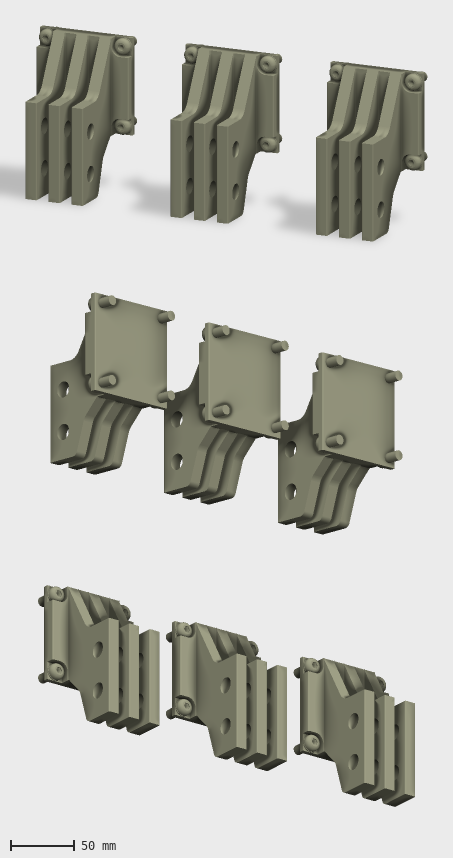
import cadquery as cq
import math


row_length = 332.0
bracket_count = 3

plate_size = 80.0
plate_thickness = 12.0
plate_corner_radius = 1.0
bracket_pitch = (row_length - plate_size) / (bracket_count - 1)

fin_count = 3
fin_pitch = plate_size / (fin_count + 1)
fin_width = fin_pitch / 2
fin_reach = 66.5
fin_top = 36.0
fin_bottom = -43.8
fin_front_radius = 1.0
fin_root_radius = 1.0
upper_slope_angle = 30.0
upper_bend_radius = 11.3
lower_start_reach = 13.3
lower_bend_reach = 27.5
lower_bend_drop = 14.3
lower_bend_radius = 10.0
heel_reach = 37.2
heel_radius = 5.0

hole_diameter = 13.3
hole_spacing = 35.0
hole_front_distance = 15.0

screw_edge_distance = 7.3
screw_offset = plate_size / 2 - screw_edge_distance
pocket_depth = 7.3
pocket_size = 2 * screw_edge_distance
shank_diameter = 8.0
shank_length = 12.0
washer_thickness = 1.0
washer_diameter = 14.3
head_diameter = 13.5
head_top_diameter = 8.0
head_height = 5.0
head_rim_height = 1.0
dome_fullness = 0.7
socket_width = 5.0
socket_depth = 1.0
socket_tip_depth = 1.5


def corner_signs():
    """Direction of each plate corner from the plate's middle."""
    return [(side, level) for side in (-1, 1) for level in (-1, 1)]


def make_plate():
    """Square plate with its upright edges rounded."""
    plate = cq.Workplane("XY").box(plate_size, plate_thickness, plate_size)
    plate = plate.edges("|Z").fillet(plate_corner_radius)
    return plate.translate((0, -plate_thickness / 2, plate_size / 2))


def make_fin():
    """Fin with a sloping neck that leads down from the plate to a tall blade."""
    slope_run = (plate_size - fin_top) * math.tan(math.radians(upper_slope_angle))
    upper_bend = (-plate_thickness - slope_run, fin_top)
    lower_bend = (-lower_bend_reach, -lower_bend_drop)
    heel = (-heel_reach, fin_bottom)
    outline = [
        (-plate_thickness, plate_size),
        upper_bend,
        (-fin_reach, fin_top),
        (-fin_reach, fin_bottom),
        heel,
        lower_bend,
        (-lower_start_reach, 0),
        (-plate_thickness, 0),
    ]
    fin = cq.Workplane("YZ").polyline(outline).close().extrude(fin_width / 2, both=True)
    for (y, z), radius in (
        (upper_bend, upper_bend_radius),
        (lower_bend, lower_bend_radius),
        (heel, heel_radius),
    ):
        fin = fin.edges(cq.selectors.NearestToPointSelector((0, y, z))).fillet(radius)
    return fin.faces("<Y").edges("|Z").fillet(fin_front_radius)


def make_root_fillets():
    """Concave strips along both sides of a fin where it meets the plate."""
    half_width = fin_width / 2
    bulge = fin_root_radius * (1 - math.sqrt(0.5))
    right = (
        cq.Workplane("XY")
        .moveTo(half_width, -plate_thickness)
        .lineTo(half_width + fin_root_radius, -plate_thickness)
        .threePointArc(
            (half_width + bulge, -plate_thickness - bulge),
            (half_width, -plate_thickness - fin_root_radius),
        )
        .close()
        .extrude(plate_size)
    )
    return right.union(right.mirror("YZ"))


def screw_position(side, level):
    """Middle of a pocket floor, where the screw's washer rests."""
    return (
        side * screw_offset,
        pocket_depth - plate_thickness,
        plate_size / 2 + level * screw_offset,
    )


def make_corner_pocket(side, level):
    """Square recess at a plate corner, with its inner corner rounded around the screw."""
    depth = pocket_depth + fin_root_radius
    pocket = cq.Workplane("XZ").rect(pocket_size, pocket_size).extrude(depth)
    inner_corner = cq.selectors.NearestToPointSelector(
        (-side * pocket_size, -depth / 2, -level * pocket_size)
    )
    pocket = pocket.edges(inner_corner).fillet(pocket_size / 2)
    return pocket.translate(screw_position(side, level))


def make_screw(side, level):
    """Dome-headed socket screw with a washer, seated on the pocket floor."""
    head_radius = head_diameter / 2
    top_radius = head_top_diameter / 2
    dome_middle = (
        top_radius + (head_radius - top_radius) * dome_fullness,
        head_rim_height + (head_height - head_rim_height) * dome_fullness,
    )
    profile = (
        cq.Workplane("XY")
        .moveTo(0, 0)
        .lineTo(head_radius, 0)
        .lineTo(head_radius, head_rim_height)
        .threePointArc(dome_middle, (top_radius, head_height))
        .lineTo(0, head_height)
        .close()
    )
    head = profile.revolve(360, (0, 0, 0), (0, 1, 0)).mirror("XZ")
    socket = (
        cq.Workplane("XZ", origin=(0, -head_height, 0))
        .polygon(6, socket_width, circumscribed=True)
        .extrude(-socket_depth)
        .rotate((0, 0, 0), (0, 1, 0), 90)
    )
    socket_tip = cq.Solid.makeCone(
        socket_width / 2,
        0,
        socket_tip_depth,
        pnt=(0, socket_depth - head_height, 0),
        dir=(0, 1, 0),
    )
    head = head.cut(socket).cut(cq.Workplane(socket_tip)).translate((0, -washer_thickness, 0))
    washer = cq.Workplane("XZ").circle(washer_diameter / 2).extrude(washer_thickness)
    shank_reach = plate_thickness - pocket_depth + shank_length
    shank = cq.Workplane("XZ").circle(shank_diameter / 2).extrude(-shank_reach)
    return head.union(washer).union(shank).translate(screw_position(side, level))


def cut_cross_holes(fins):
    """Two holes through every fin, centred on the height of the blade."""
    blade_middle = (fin_top + fin_bottom) / 2
    hole_y = hole_front_distance - fin_reach
    for z in (blade_middle - hole_spacing / 2, blade_middle + hole_spacing / 2):
        drill = (
            cq.Workplane("YZ", origin=(0, hole_y, z))
            .circle(hole_diameter / 2)
            .extrude(plate_size / 2, both=True)
        )
        fins = fins.cut(drill)
    return fins


def centred_positions(count, pitch):
    """Evenly spaced places along X, centred on zero."""
    return [(i - (count - 1) / 2) * pitch for i in range(count)]


def make_bracket():
    """Plate, fins and screws joined in one solid."""
    base = make_plate()
    fins = cq.Workplane("XY")
    for x in centred_positions(fin_count, fin_pitch):
        base = base.union(make_root_fillets().translate((x, 0, 0)))
        fins = fins.add(make_fin().translate((x, 0, 0)))
    for side, level in corner_signs():
        base = base.cut(make_corner_pocket(side, level))
    bracket = base.union(cut_cross_holes(fins.combine()))
    for side, level in corner_signs():
        bracket = bracket.union(make_screw(side, level))
    return bracket.solids()


bracket = make_bracket()
brackets = [
    bracket.translate((x, 0, 0))
    for x in centred_positions(bracket_count, bracket_pitch)
]

result = cq.Compound.makeCompound([copy.val() for copy in brackets])